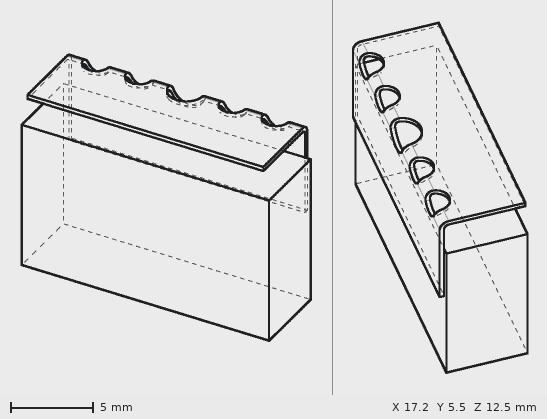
import cadquery as cq
import math

block_length = 17.2
block_height = 10.2

overall_depth = 5.5
overall_height = 12.5
sheet_length = 16.4
sheet_thickness = 0.3
upright_height = 6.31
inner_bend_radius = 0.3
outer_bend_radius = inner_bend_radius + sheet_thickness
block_depth = overall_depth - sheet_thickness

bend_y = overall_depth - outer_bend_radius
bend_z = overall_height - outer_bend_radius

middle_hole_diameter = 2.35
side_hole_diameter = 1.74
side_hole_offsets = (3.25, 6.25)
hole_shift = 0.17
middle_surface_radius = inner_bend_radius + sheet_thickness / 2
bend_stations = 7
cut_margin = 0.14


def make_block():
    return cq.Workplane("XY").box(
        block_length, block_depth, block_height, centered=(True, False, False)
    )


def make_sheet():
    inner_y = overall_depth - sheet_thickness
    inner_z = overall_height - sheet_thickness
    upright_bottom = overall_height - upright_height
    diagonal = math.cos(math.pi / 4)
    outer_middle = (bend_y + outer_bend_radius * diagonal, bend_z + outer_bend_radius * diagonal)
    inner_middle = (bend_y + inner_bend_radius * diagonal, bend_z + inner_bend_radius * diagonal)
    return (
        cq.Workplane("YZ", origin=(-sheet_length / 2, 0, 0))
        .moveTo(0, inner_z)
        .lineTo(0, overall_height)
        .lineTo(bend_y, overall_height)
        .threePointArc(outer_middle, (overall_depth, bend_z))
        .lineTo(overall_depth, upright_bottom)
        .lineTo(inner_y, upright_bottom)
        .lineTo(inner_y, bend_z)
        .threePointArc(inner_middle, (bend_y, inner_z))
        .close()
        .extrude(sheet_length)
    )


def flange_cutter(center_x, center, radius, limit, plane):
    """Part of a round hole through one flat flange, stopping at the bend.

    center and limit are measured along the plane's second axis.
    """
    reach = 2 * radius
    keep = cq.Workplane(plane).center(center_x, limit - reach / 2).rect(reach, reach)
    hole = cq.Workplane(plane).center(center_x, center).circle(radius)
    cut_depth = sheet_thickness + cut_margin
    return hole.extrude(cut_depth).intersect(keep.extrude(cut_depth))


def bend_cutter(center_x, radius):
    """Part of a round hole wrapped around the bend, with walls square to the sheet."""
    near = inner_bend_radius - cut_margin
    far = outer_bend_radius + cut_margin
    sections = []
    for station in range(bend_stations):
        angle = math.pi / 2 * station / (bend_stations - 1)
        along = middle_surface_radius * angle - hole_shift
        half_width = math.sqrt(radius**2 - along**2)
        sin_angle = math.sin(angle)
        cos_angle = math.cos(angle)
        corners = [
            cq.Vector(center_x + side * half_width, bend_y + reach * sin_angle, bend_z + reach * cos_angle)
            for side, reach in ((-1, near), (1, near), (1, far), (-1, far))
        ]
        sections.append(cq.Wire.makePolygon(corners, close=True))
    return cq.Workplane(cq.Solid.makeLoft(sections))


def cut_hole(sheet, center_x, diameter):
    radius = diameter / 2
    bend_length = middle_surface_radius * math.pi / 2
    roof_bottom = cq.Plane(
        origin=(0, 0, overall_height - sheet_thickness), xDir=(1, 0, 0), normal=(0, 0, 1)
    )
    upright_back = cq.Plane(origin=(0, overall_depth, 0), xDir=(1, 0, 0), normal=(0, -1, 0))
    upright_hole_z = bend_z + bend_length - hole_shift
    sheet = sheet.cut(flange_cutter(center_x, bend_y + hole_shift, radius, bend_y, roof_bottom))
    sheet = sheet.cut(flange_cutter(center_x, upright_hole_z, radius, bend_z, upright_back))
    return sheet.cut(bend_cutter(center_x, radius))


sheet = cut_hole(make_sheet(), 0, middle_hole_diameter)
for offset in side_hole_offsets:
    for side in (-1, 1):
        sheet = cut_hole(sheet, side * offset, side_hole_diameter)

result = make_block().union(sheet)